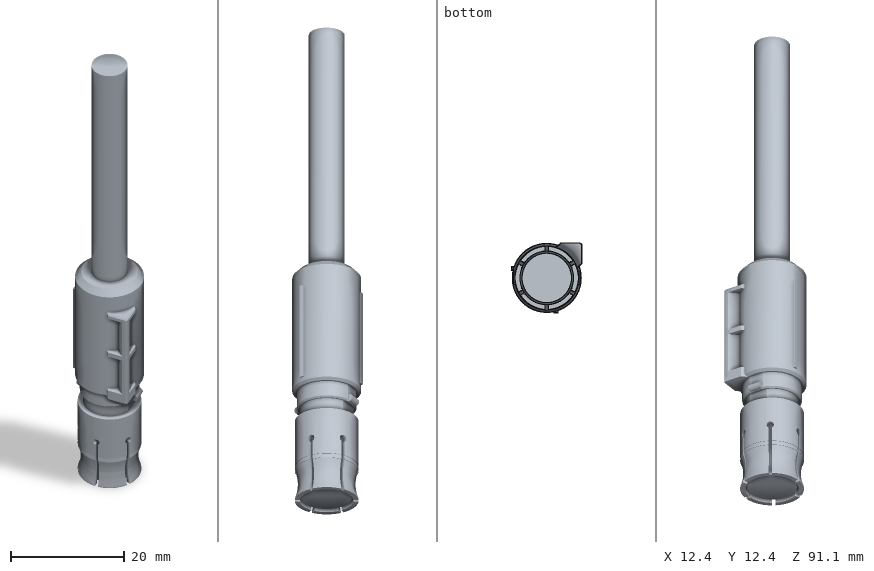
import cadquery as cq

overall_height = 91.1
housing_top = 44.55
housing_bottom = 20.95
shoulder_bottom = 17.9
sleeve_top = 15.5
sleeve_waist = 3.1
core_bottom = 0.5

cable_radius = 3.2

housing_radius = 6.1
top_chamfer = 1.1
bottom_chamfer = 0.5

key_top = 40.0
key_reach = 6.2
key_width = 5.2
key_edge_chamfer = 0.3
web_thickness = 1.4
window_height = 7.65
lower_window_bottom = 22.9
upper_window_bottom = 31.4
key_angle = -45.0

rib_reach = key_reach
rib_inner_offset = 1.3
rib_width = 0.7
rib_bottom = 22.1
rib_height = key_top - rib_bottom

shoulder_radius = 5.3
shoulder_flat = 5.1
shoulder_chamfer = 0.3
neck_radius = 4.7
neck_flat = 4.4
core_radius = 4.4

catch_radius = 0.6
catch_reach = 5.9
catch_length = 2.4
catch_height = 18.5

sleeve_radius = 5.65
waist_radius = 5.1
lip_height = 0.2
arc_top = 5.8
step_top = 6.65
step_depth = 0.1
waist_top_radius = sleeve_radius - step_depth
chamber_radius = 4.7
chamber_top = 10.9
slot_count = 6
first_slot_angle = 90.0
slot_width = 0.59
slot_hole_radius = 0.6
slot_hole_height = 9.9


def cylinder(radius, bottom, top):
    return cq.Workplane("XY").workplane(offset=bottom).circle(radius).extrude(top - bottom)


def add_flats(body, flat):
    """Cut the body to the distance flat from the axis on its -X and +X sides."""
    slab = cq.Workplane("XY").box(2 * flat, 2 * housing_radius, 2 * overall_height)
    return body.intersect(slab)


def make_cable():
    return cylinder(cable_radius, housing_top, overall_height)


def diagonal_bar(width, bottom, height):
    """Bar from the axis outward through the key corner."""
    length = 2 * key_reach
    bar = cq.Workplane("XY").box(length, width, height, centered=(False, True, False))
    return bar.rotate((0, 0, 0), (0, 0, 1), key_angle).translate((0, 0, bottom))


def make_key():
    """Square corner outside the housing, with two windows on each side of a diagonal web."""
    height = key_top - housing_bottom
    corner = (
        cq.Workplane("XY")
        .box(key_reach, key_reach, height, centered=False)
        .translate((0, -key_reach, housing_bottom))
    )
    corner = corner.edges("(>X and >Z) or (<Y and >Z) or (>X and <Y)").chamfer(key_edge_chamfer)
    key = corner.intersect(diagonal_bar(key_width, housing_bottom, height))
    for bottom in (lower_window_bottom, upper_window_bottom):
        window = diagonal_bar(2 * key_reach, bottom, window_height)
        key = key.cut(window.cut(diagonal_bar(web_thickness, bottom, window_height)))
    return key


def make_ribs():
    """Two ribs, mirror images about the key diagonal, standing slightly proud of the housing."""
    left_rib = (
        cq.Workplane("XY")
        .box(rib_reach, rib_width, rib_height, centered=False)
        .translate((-rib_reach, -rib_inner_offset - rib_width, rib_bottom))
    )
    rear_rib = (
        cq.Workplane("XY")
        .box(rib_width, rib_reach, rib_height, centered=False)
        .translate((rib_inner_offset, 0, rib_bottom))
    )
    return left_rib.union(rear_rib)


def make_housing():
    body = cylinder(housing_radius, housing_bottom, housing_top)
    body = body.faces(">Z").chamfer(top_chamfer)
    body = body.faces("<Z").chamfer(bottom_chamfer)
    return body.union(make_key()).union(make_ribs())


def make_catches():
    """Half-round bars along Y, one on each shoulder flat."""
    centre = catch_reach - catch_radius
    catches = cq.Workplane("XZ", origin=(0, catch_length / 2, catch_height))
    return catches.pushPoints([(-centre, 0), (centre, 0)]).circle(catch_radius).extrude(catch_length)


def make_neck():
    shoulder = cylinder(shoulder_radius, shoulder_bottom, housing_bottom)
    shoulder = add_flats(shoulder.faces("<Z").chamfer(shoulder_chamfer), shoulder_flat)
    neck = add_flats(cylinder(neck_radius, sleeve_top, shoulder_bottom), neck_flat)
    core = cylinder(core_radius, core_bottom, sleeve_top)
    return shoulder.union(make_catches()).union(neck).union(core)


def make_slot(angle):
    """Radial slot, open at the bottom and ending in a round hole."""
    slot = (
        cq.Workplane("XY")
        .box(2 * sleeve_radius, slot_width, slot_hole_height, centered=(False, True, False))
    )
    hole = (
        cq.Workplane("YZ")
        .center(0, slot_hole_height)
        .circle(slot_hole_radius)
        .extrude(2 * sleeve_radius)
    )
    return slot.union(hole).rotate((0, 0, 0), (0, 0, 1), angle)


def waist_arc_radius(end_radius, end_height):
    """Radius of the arc that is vertical at the waist and passes through the given end."""
    rise = end_radius - waist_radius
    return (rise**2 + (end_height - sleeve_waist) ** 2) / (2 * rise)


def make_sleeve():
    """Revolved sleeve with a concave waist, a stepped bore and radial slots."""
    profile = (
        cq.Workplane("XZ")
        .moveTo(chamber_radius, 0)
        .lineTo(chamber_radius, chamber_top)
        .lineTo(core_radius, chamber_top)
        .lineTo(core_radius, sleeve_top)
        .lineTo(sleeve_radius, sleeve_top)
        .lineTo(sleeve_radius, step_top)
        .lineTo(waist_top_radius, step_top)
        .lineTo(sleeve_radius, arc_top)
        .lineTo(waist_top_radius, arc_top)
        .radiusArc((waist_radius, sleeve_waist), -waist_arc_radius(waist_top_radius, arc_top))
        .radiusArc((sleeve_radius, lip_height), -waist_arc_radius(sleeve_radius, lip_height))
        .lineTo(sleeve_radius, 0)
        .close()
    )
    sleeve = profile.revolve(360, (0, 0, 0), (0, 1, 0))
    for index in range(slot_count):
        sleeve = sleeve.cut(make_slot(first_slot_angle + index * 360 / slot_count))
    return sleeve


cable = make_cable()
housing = make_housing()
neck = make_neck()
sleeve = make_sleeve()

result = cq.Compound.makeCompound([cable.val(), housing.val(), neck.val(), sleeve.val()])